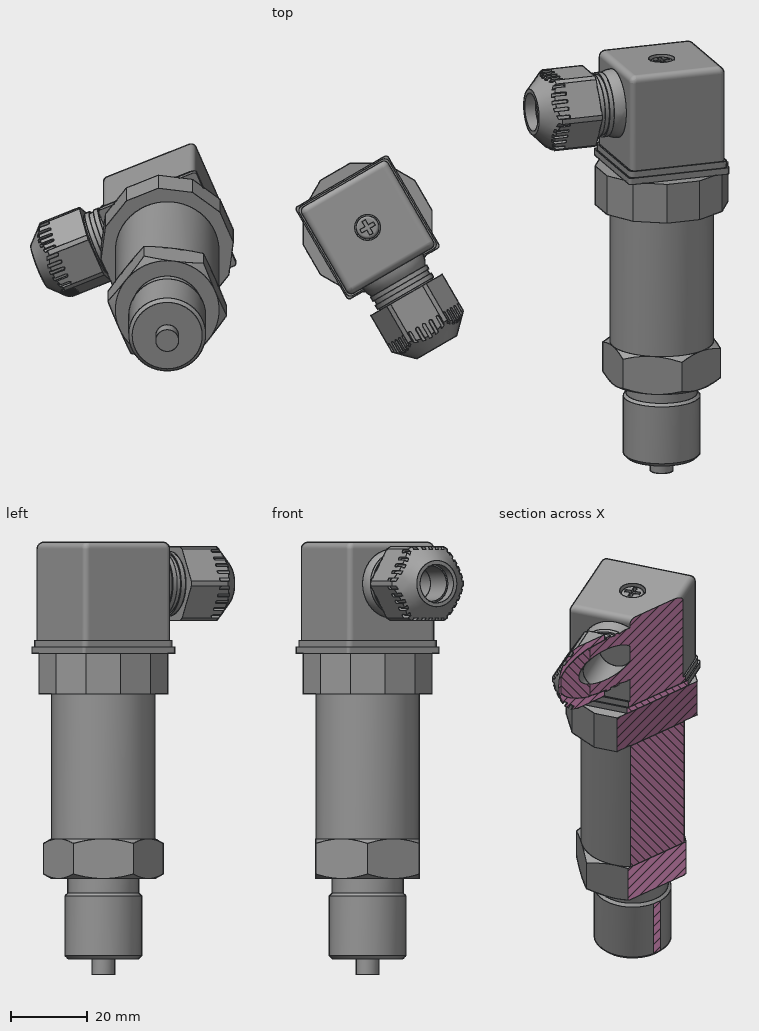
import cadquery as cq
import math

total_height = 112.4
thread_bottom = 4.0
thread_top = 20.5
hex_bottom = 25.0
hex_top = 35.3
collar_bottom = 73.0
gasket_bottom = 83.5
flange_bottom = 85.2
housing_bottom = 86.9

spigot_diameter = 6.0
thread_diameter = 20.0
thread_end_chamfer = 0.9
neck_diameter = 18.5
thread_top_chamfer = (thread_diameter - neck_diameter) / 2
hex_flats = 27.0
hex_chamfer_angle = 30.0

tube_diameter = 27.0
collar_flats = 33.5
collar_sides = 12

head_angle = 30.0
gasket_side = 27.7
gasket_corner = 0.8
flange_side = 26.9
housing_side = 26.0
housing_round = 1.3
housing_top_round = 1.7

screw_hole_diameter = 6.7
screw_hole_depth = 3.4
screw_diameter = 6.0
screw_sink = 0.5
screw_round = 0.7
cross_length = 4.0
cross_width = 1.0
cross_depth = 1.1

gland_height = 101.6
gland_bore = 9.2
stub_diameter = 18.0
groove_diameter = 16.0
ridge_diameter = 16.9
ridge_starts = (16.1, 18.5)
ridge_width = 1.2
threaded_end = 24.7
seal_end = 33.0

nut_start = 20.2
nut_cone_start = 31.2
nut_end = 36.0
nut_flats = 19.2
nut_corner_diameter = 21.5
nut_tip_diameter = 12.0
nut_mouth_diameter = 10.0
slot_count = 30
slot_start = 28.9
slot_width = 0.9
slot_depth = 0.7


def cylinder(diameter, bottom, top):
    """Upright cylinder on the Z axis between two heights."""
    return cq.Workplane("XY", origin=(0, 0, bottom)).circle(diameter / 2).extrude(top - bottom)


def polygon_prism(sides, flats, bottom, top):
    """Upright regular prism with a corner on the +X axis, sized across its flats."""
    corner_diameter = flats / math.cos(math.pi / sides)
    return cq.Workplane("XY", origin=(0, 0, bottom)).polygon(sides, corner_diameter).extrude(top - bottom)


def square_prism(side, corner_radius, bottom, top):
    """Upright square prism with rounded vertical edges."""
    base = cq.Workplane("XY", origin=(0, 0, bottom)).rect(side, side).extrude(top - bottom)
    return base.edges("|Z").fillet(corner_radius)


def turn(body, angle):
    return body.rotate((0, 0, 0), (0, 0, 1), angle)


def along_gland(body):
    """Lay a body built on the Z axis along the outward axis of the gland, in the unturned head."""
    return body.rotate((0, 0, 0), (1, 0, 0), 90).translate((0, 0, gland_height))


def make_fitting():
    """Hexagon with a neck, a plain thread and a spigot below it."""
    hexagon = turn(polygon_prism(6, hex_flats, hex_bottom, hex_top), 30)
    corner_radius = hex_flats / 2 / math.cos(math.pi / 6)
    chamfer_height = (corner_radius - hex_flats / 2) * math.tan(math.radians(hex_chamfer_angle))
    chamfered_envelope = (
        cq.Workplane("XZ")
        .polyline([
            (0, hex_bottom),
            (hex_flats / 2, hex_bottom),
            (corner_radius, hex_bottom + chamfer_height),
            (corner_radius, hex_top - chamfer_height),
            (hex_flats / 2, hex_top),
            (0, hex_top),
        ])
        .close()
        .revolve(360, (0, 0, 0), (0, 1, 0))
    )
    thread = (
        cylinder(thread_diameter, thread_bottom, thread_top + thread_top_chamfer)
        .faces("<Z").chamfer(thread_end_chamfer)
        .faces(">Z").chamfer(thread_top_chamfer)
    )
    neck = cylinder(neck_diameter, thread_top, hex_bottom)
    spigot = cylinder(spigot_diameter, 0, thread_bottom)
    return hexagon.intersect(chamfered_envelope).union(neck).union(thread).union(spigot)


def make_tube():
    return cylinder(tube_diameter, hex_top, collar_bottom)


def make_collar():
    prism = polygon_prism(collar_sides, collar_flats, collar_bottom, gasket_bottom)
    return turn(prism, 180 / collar_sides)


def make_gasket():
    gasket = square_prism(gasket_side, gasket_corner, gasket_bottom, flange_bottom)
    return turn(gasket, head_angle)


def make_stub():
    """Upright gland stub: a wide root that curves in to a narrow shank with two ridges."""
    stub = (
        cq.Workplane("XZ")
        .lineTo(stub_diameter / 2, 0)
        .lineTo(stub_diameter / 2, housing_side / 2)
        .tangentArcPoint((groove_diameter / 2, ridge_starts[0]), relative=False)
        .lineTo(groove_diameter / 2, threaded_end)
        .lineTo(0, threaded_end)
        .close()
        .revolve(360, (0, 0, 0), (0, 1, 0))
    )
    for start in ridge_starts:
        stub = stub.union(cylinder(ridge_diameter, start, start + ridge_width))
    return stub


def make_housing():
    """Square box with a bottom flange, a screw hole on top and a threaded stub for the gland."""
    flange = square_prism(flange_side, housing_round, flange_bottom, housing_bottom)
    box = square_prism(housing_side, housing_round, housing_bottom, total_height)
    box = box.faces(">Z").edges().fillet(housing_top_round)
    bore = cylinder(gland_bore, housing_side / 2, threaded_end)
    screw_hole = cylinder(screw_hole_diameter, total_height - screw_hole_depth, total_height)
    housing = flange.union(box).union(along_gland(make_stub()))
    return turn(housing.cut(along_gland(bore)).cut(screw_hole), head_angle)


def make_screw():
    """Round-edged screw with a cross recess, standing on the floor of its hole."""
    screw_top = total_height - screw_sink
    screw = cylinder(screw_diameter, total_height - screw_hole_depth, screw_top)
    screw = screw.faces(">Z").edges().fillet(screw_round)
    top = cq.Workplane("XY", origin=(0, 0, screw_top))
    for length, width in ((cross_length, cross_width), (cross_width, cross_length)):
        screw = screw.cut(top.rect(length, width).extrude(-cross_depth))
    return turn(screw, head_angle)


def make_gland_nut():
    """Hexagonal cap nut with blunted corners, a conical end and grip slots all round."""
    envelope = (
        cq.Workplane("XZ")
        .polyline([
            (0, nut_start),
            (nut_corner_diameter / 2, nut_start),
            (nut_corner_diameter / 2, nut_cone_start),
            (nut_tip_diameter / 2, nut_end),
            (0, nut_end),
        ])
        .close()
        .revolve(360, (0, 0, 0), (0, 1, 0))
    )
    nut = polygon_prism(6, nut_flats, nut_start, nut_end).intersect(envelope)
    nut = nut.cut(cylinder(groove_diameter, nut_start, seal_end))
    nut = nut.cut(cylinder(nut_mouth_diameter, seal_end, nut_end))
    slot = (
        cq.Workplane("YZ")
        .moveTo(-slot_width / 2, nut_end)
        .lineTo(-slot_width / 2, slot_start + slot_width / 2)
        .threePointArc((0, slot_start), (slot_width / 2, slot_start + slot_width / 2))
        .lineTo(slot_width / 2, nut_end)
        .close()
        .extrude(nut_corner_diameter)
    )
    slot_floor = polygon_prism(6, nut_flats - 2 * slot_depth, slot_start, nut_end)
    for index in range(slot_count):
        nut = nut.cut(turn(slot, (index + 0.5) * 360 / slot_count).cut(slot_floor))
    return turn(along_gland(nut), head_angle)


def make_seal():
    """Sealing ring held in the nut, against the end of the threaded stub."""
    seal = cylinder(groove_diameter, threaded_end, seal_end).cut(cylinder(gland_bore, threaded_end, seal_end))
    return turn(along_gland(seal), head_angle)


fitting = make_fitting()
tube = make_tube()
collar = make_collar()
gasket = make_gasket()
housing = make_housing()
screw = make_screw()
gland_nut = make_gland_nut()
seal = make_seal()

result = cq.Compound.makeCompound([
    fitting.val(),
    tube.val(),
    collar.val(),
    gasket.val(),
    housing.val(),
    screw.val(),
    gland_nut.val(),
    seal.val(),
])